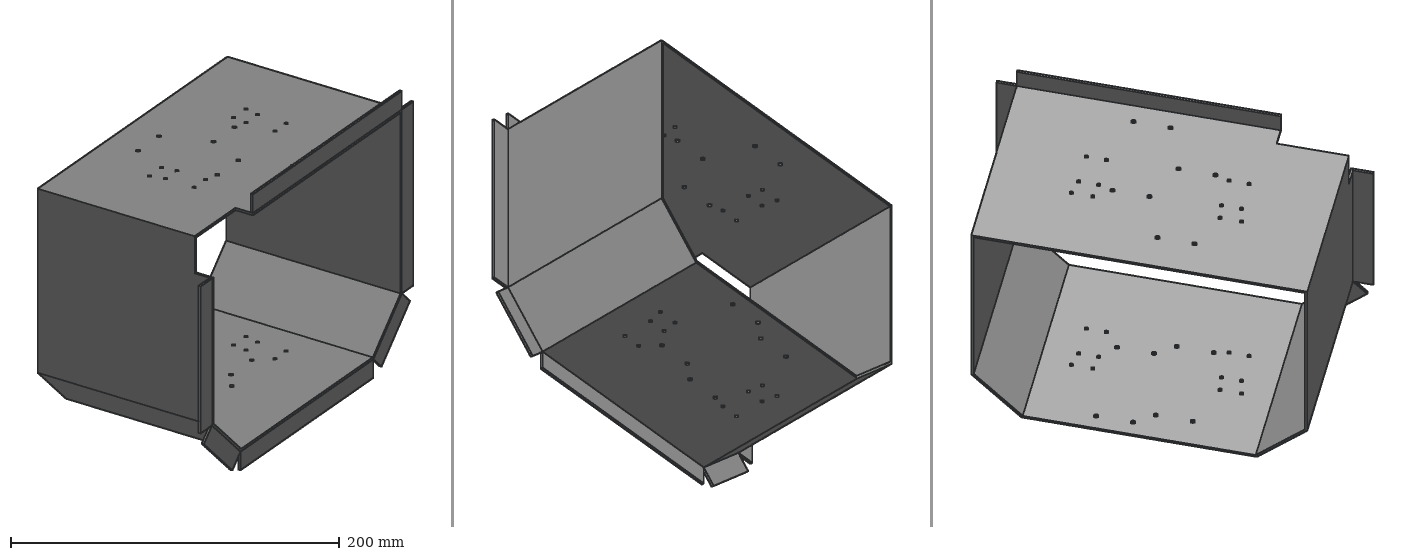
import cadquery as cq
import math

length = 127.0
flange_width = 12.7
width = 235 - 2 * flange_width
height = 182.8 - 2 * flange_width
sheet = 1.6
bevel = 31.5

notch_depth = 12.7
notch_width = 45.0
notch_height = 25.4

pair_hole_diameter = 2.1
pair_x = 47.5
pair_y = (39.7, 53.0)
quad_hole_diameter = 2.0
quad_x = (57.5, 78.5)
quad_y = (38.3, 50.7)

mount_hole_diameter = 2.5
mount_spacing_x = 57.8
mount_y = (6.0, 29.1)
roof_mount_x_back = 55.0
roof_mount_x_front = 23.3
floor_mount_x_back = 9.9
floor_mount_x_front = 18.5

half_width = width / 2
floor_half_width = half_width - bevel
inner_bevel_shift = sheet * math.tan(math.radians(22.5))


def duct_outline(half_span, bottom, top, bevel_top, floor_half):
    """Closed cross-section in the YZ plane with two bevelled lower corners."""
    points = [
        (-half_span, top),
        (half_span, top),
        (half_span, bevel_top),
        (floor_half, bottom),
        (-floor_half, bottom),
        (-half_span, bevel_top),
    ]
    return cq.Workplane("YZ").polyline(points).close().extrude(length)


def vertical_holes(points, diameter, bottom, depth):
    return cq.Workplane("XY", origin=(0, 0, bottom)).pushPoints(points).circle(diameter / 2).extrude(depth)


def mount_points(x_back, x_front):
    points = []
    for x_start, side in ((x_back, 1), (x_front, -1)):
        for x in (x_start, x_start + mount_spacing_x):
            points += [(x, side * y) for y in mount_y]
    return points


def make_duct():
    outer = duct_outline(half_width, 0, height, bevel, floor_half_width)
    inner = duct_outline(
        half_width - sheet,
        sheet,
        height - sheet,
        bevel + inner_bevel_shift,
        floor_half_width - inner_bevel_shift,
    )
    duct = outer.cut(inner)

    notch = cq.Workplane("XY").box(notch_depth, notch_width, notch_height, centered=False)
    duct = duct.cut(notch.translate((length - notch_depth, -half_width, height - notch_height)))

    pair_points = [(pair_x, side * y) for y in pair_y for side in (1, -1)]
    quad_points = [(x, side * y) for x in quad_x for y in quad_y for side in (1, -1)]
    duct = duct.cut(vertical_holes(pair_points, pair_hole_diameter, 0, height))
    duct = duct.cut(vertical_holes(quad_points, quad_hole_diameter, 0, height))

    roof_points = mount_points(roof_mount_x_back, roof_mount_x_front)
    floor_points = mount_points(floor_mount_x_back, floor_mount_x_front)
    duct = duct.cut(vertical_holes(roof_points, mount_hole_diameter, height - sheet, sheet))
    return duct.cut(vertical_holes(floor_points, mount_hole_diameter, 0, sheet))


def make_flange(start, end):
    """Strip along an outer (y, z) edge; it stands out to the right of start -> end."""
    edge_y = end[0] - start[0]
    edge_z = end[1] - start[1]
    edge_length = math.hypot(edge_y, edge_z)
    out_y = flange_width * edge_z / edge_length
    out_z = -flange_width * edge_y / edge_length
    points = [
        start,
        end,
        (end[0] + out_y, end[1] + out_z),
        (start[0] + out_y, start[1] + out_z),
    ]
    return cq.Workplane("YZ", origin=(length - sheet, 0, 0)).polyline(points).close().extrude(sheet)


flange_edges = [
    ((-floor_half_width, 0), (floor_half_width, 0)),
    ((floor_half_width, 0), (half_width, bevel)),
    ((half_width, bevel), (half_width, height)),
    ((half_width, height), (-half_width + notch_width, height)),
    ((-half_width, height - notch_height), (-half_width, bevel)),
    ((-half_width, bevel), (-floor_half_width, 0)),
]

duct = make_duct()
flanges = [make_flange(start, end) for start, end in flange_edges]
result = cq.Compound.makeCompound([duct.val(), *[flange.val() for flange in flanges]])